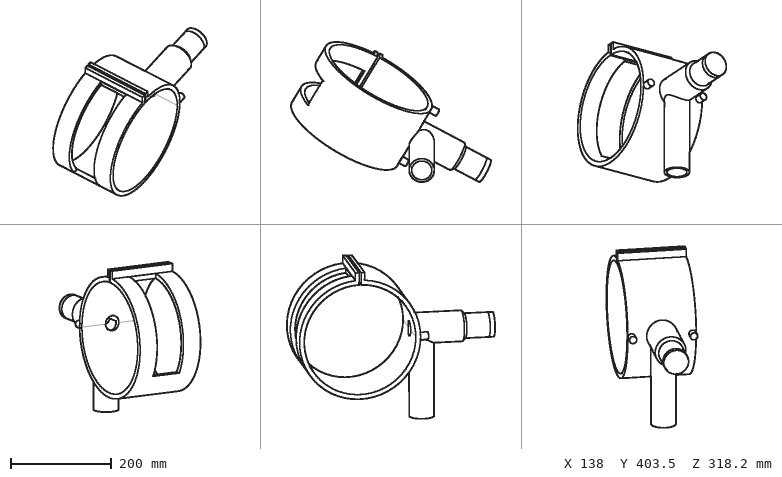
import cadquery as cq

ring_width = 138.0
ring_outer_radius = 122.2
ring_wall = 9.5
ring_inner_radius = ring_outer_radius - ring_wall

split_gap = 4.0
ear_thickness = 7.3
ear_top = 137.5

window_width = 59.7
window_bottom = -61.7
window_back = -10.0

stud_diameter = 15.0
stud_end = 138.5

overall_length = 403.5
pipe_end = overall_length - ring_outer_radius
pipe_diameter = 62.0
spigot_diameter = 50.0
shoulder_start = 218.0
shoulder_length = (pipe_diameter - spigot_diameter) / 2
cap_thickness = 10.0
cap_start = pipe_end - cap_thickness
pipe_bore_diameter = 30.3

branch_y = 137.0
branch_bottom = -180.7
branch_diameter = 50.0
branch_bore_diameter = 40.0


def rod_along_y(diameter, start, end, x=0.0):
    """Round bar parallel to Y, at height zero, from y = start to y = end."""
    return (
        cq.Workplane("XZ", origin=(x, start, 0))
        .circle(diameter / 2)
        .extrude(start - end)
    )


def branch_rod(diameter):
    """Round bar on the branch axis, from the pipe axis down to the branch end."""
    return (
        cq.Workplane("XY", origin=(0, branch_y, branch_bottom))
        .circle(diameter / 2)
        .extrude(-branch_bottom)
    )


def block(width, y_min, y_max, z_min, z_max):
    """Box centred on X between the given Y and Z limits."""
    return (
        cq.Workplane("XY", origin=(0, y_min, z_min))
        .box(width, y_max - y_min, z_max - z_min, centered=(True, False, False))
    )


def ring_disc(radius):
    """Disc on the ring axis, as wide as the ring."""
    return cq.Workplane("YZ").circle(radius).extrude(ring_width / 2, both=True)


def stepped_pipe():
    """Pipe with a 45 degree shoulder down to the spigot, stopping at the cap."""
    pipe_radius = pipe_diameter / 2
    spigot_radius = spigot_diameter / 2
    return (
        cq.Workplane("XY")
        .polyline([
            (0, 0),
            (pipe_radius, 0),
            (pipe_radius, shoulder_start),
            (spigot_radius, shoulder_start + shoulder_length),
            (spigot_radius, cap_start),
            (0, cap_start),
        ])
        .close()
        .revolve(360, (0, 0, 0), (0, 1, 0))
    )


def make_clamp():
    """Split clamp ring with its ears, studs, stepped pipe and branch."""
    ear_span = split_gap + 2 * ear_thickness
    clamp = ring_disc(ring_outer_radius)
    clamp = clamp.union(block(ring_width, -ear_span / 2, ear_span / 2, 0, ear_top))
    clamp = clamp.union(stepped_pipe())
    clamp = clamp.union(branch_rod(branch_diameter))
    stud_offset = (ring_width - stud_diameter) / 2
    stud_start = ring_outer_radius - ring_wall / 2
    for stud_x in (-stud_offset, stud_offset):
        clamp = clamp.union(rod_along_y(stud_diameter, stud_start, stud_end, stud_x))

    clamp = clamp.cut(ring_disc(ring_inner_radius))
    clamp = clamp.cut(block(ring_width, -split_gap / 2, split_gap / 2, 0, ear_top))
    clamp = clamp.cut(block(window_width, -ring_outer_radius, window_back, window_bottom, ring_outer_radius))
    clamp = clamp.cut(rod_along_y(pipe_bore_diameter, 0, cap_start))
    return clamp.cut(branch_rod(branch_bore_diameter))


def make_cap():
    """Plain disc closing the end of the spigot."""
    return rod_along_y(spigot_diameter, cap_start, pipe_end)


clamp = make_clamp()
cap = make_cap()
result = cq.Compound.makeCompound([clamp.solids().val(), cap.val()])